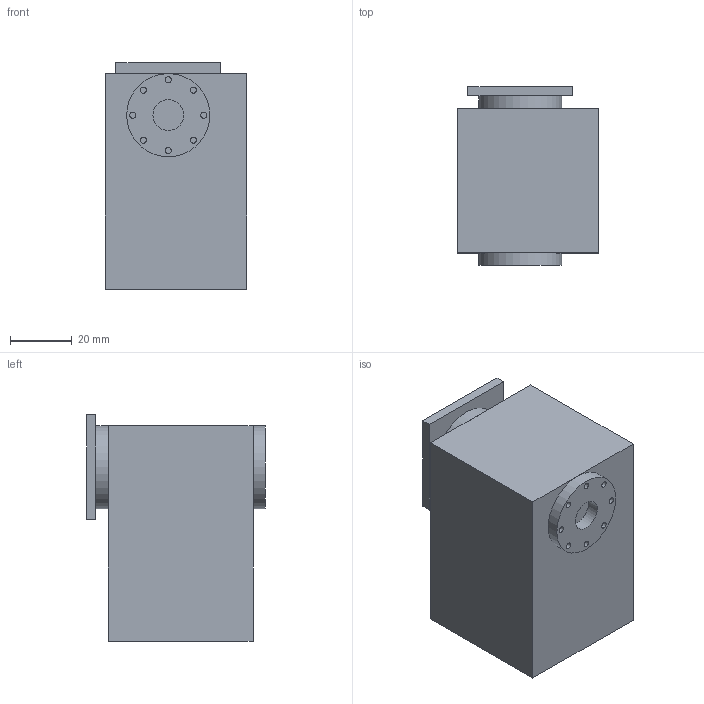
import cadquery as cq

body_width = 46.0
body_depth = 47.0
body_height = 70.0

flange_diameter = 27.0
flange_thickness = 4.0
axis_x_from_left = 20.5
axis_z = body_height - flange_diameter / 2

bore_diameter = 10.0
bore_depth = flange_thickness
screw_hole_count = 8
screw_hole_diameter = 2.0
screw_hole_depth = flange_thickness
screw_circle_diameter = 23.0

plate_side = 34.0
plate_thickness = 3.0

front_face_y = -body_depth / 2
back_face_y = body_depth / 2
flange_front_y = front_face_y - flange_thickness
plate_front_y = back_face_y + flange_thickness


def facing_back(y):
    """Sketch plane at the given Y, centred on the flange axis, with its normal along +Y."""
    return cq.Workplane(cq.Plane(origin=(0, y, axis_z), xDir=(1, 0, 0), normal=(0, 1, 0)))


def make_body():
    return cq.Workplane("XY").box(
        body_width, body_depth, body_height, centered=(False, True, False)
    ).translate((-axis_x_from_left, 0, 0))


def make_flange(start_y):
    return facing_back(start_y).circle(flange_diameter / 2).extrude(flange_thickness)


def make_plate():
    return facing_back(plate_front_y).rect(plate_side, plate_side).extrude(plate_thickness)


def make_bore():
    return facing_back(flange_front_y).circle(bore_diameter / 2).extrude(bore_depth)


def make_screw_holes():
    return (
        facing_back(flange_front_y)
        .polarArray(screw_circle_diameter / 2, 0, 360, screw_hole_count)
        .circle(screw_hole_diameter / 2)
        .extrude(screw_hole_depth)
    )


result = (
    make_body()
    .union(make_flange(flange_front_y))
    .union(make_flange(back_face_y))
    .union(make_plate())
    .cut(make_bore())
    .cut(make_screw_holes())
)